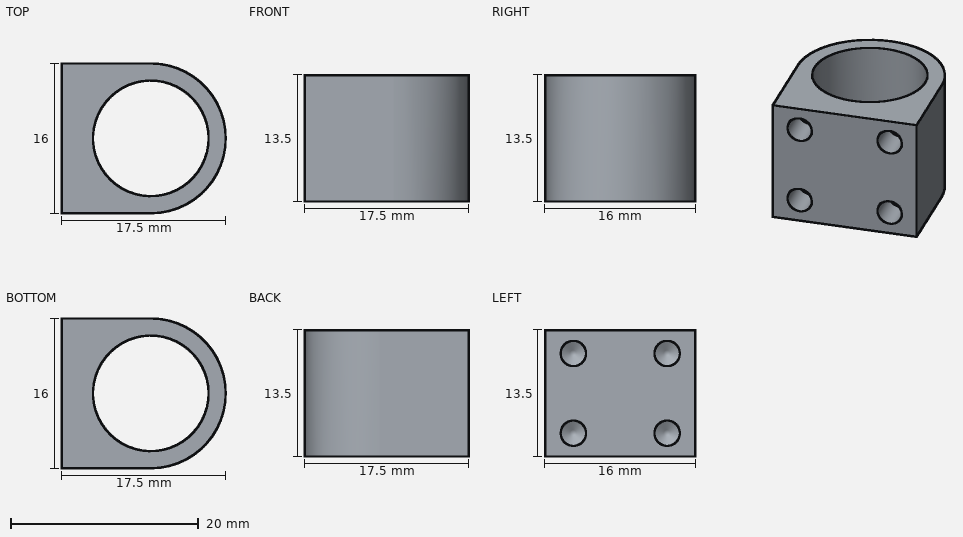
import cadquery as cq
import math

width = 16.0
height = 13.5
end_radius = width / 2
flat_face_distance = 9.5

bore_diameter = 12.3

hole_diameter = 2.7
hole_depth = 4.0
drill_tip_angle = 118.0
hole_spacing_y = 10.0
hole_spacing_z = 8.5


def make_body():
    """Block with a half-round end, centred on the bore axis."""
    return (
        cq.Workplane("XY")
        .moveTo(-flat_face_distance, -end_radius)
        .lineTo(0, -end_radius)
        .threePointArc((end_radius, 0), (0, end_radius))
        .lineTo(-flat_face_distance, end_radius)
        .close()
        .extrude(height / 2, both=True)
    )


def make_bore():
    """Cylinder that cuts the bore through the full height."""
    return cq.Workplane("XY").circle(bore_diameter / 2).extrude(height / 2, both=True)


def make_drilled_hole(y, z):
    """Drill shape with a conical tip, entering the flat face along +X."""
    radius = hole_diameter / 2
    tip_length = radius / math.tan(math.radians(drill_tip_angle / 2))
    half_profile = (
        cq.Workplane("XY")
        .lineTo(hole_depth + tip_length, 0)
        .lineTo(hole_depth, radius)
        .lineTo(0, radius)
        .close()
    )
    drill = half_profile.revolve(360, (0, 0, 0), (1, 0, 0))
    return drill.translate((-flat_face_distance, y, z))


result = make_body().cut(make_bore())
for y_side in (-1, 1):
    for z_side in (-1, 1):
        hole = make_drilled_hole(y_side * hole_spacing_y / 2, z_side * hole_spacing_z / 2)
        result = result.cut(hole)